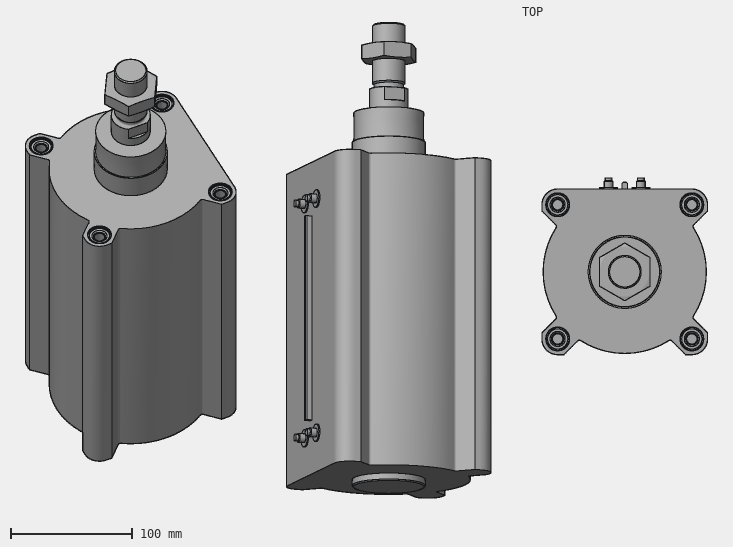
import cadquery as cq
import math


barrel_bottom = 6.0
barrel_length = 260.0
barrel_top = barrel_bottom + barrel_length
collar_height = 21.0
neck_height = 24.5
collar_top = barrel_top + collar_height
neck_top = collar_top + neck_height
rod_reach = 19.5
rod_shoulder = neck_top + rod_reach
rod_end = 385.0

barrel_radius = 67.0
half_width = 68.0
screw_spacing = 110.0
screw_offset = screw_spacing / 2
lug_radius = half_width - screw_offset
lug_flat_end = 50.0
lug_flank_shift = half_width - lug_flat_end
lug_root_fillet = 2.0

recess_mouth_diameter = 19.6
recess_diameter = 18.63
recess_floor_diameter = 16.6
recess_ledge_depth = 1.0
recess_depth = 1.5
hole_mouth_diameter = 12.4
hole_step_diameter = 10.11
hole_step_depth = 3.0
hole_diameter = 8.5
hole_depth = 25.0

collar_diameter = 60.0
neck_diameter = 57.6
neck_waist = 0.3
boss_chamfer = 1.0

fitting_spacing_x = 26.6
fitting_inset = 32.4
pad_diameter = 14.5
pad_thickness = 1.0
fitting_body_diameter = 7.4
fitting_body_end = 6.8
fitting_body_chamfer = 0.8
fitting_tip_diameter = 5.78
fitting_length = 9.1
rail_width = 4.6
rail_height = 5.5
rail_end_inset = 45.0
rail_chamfer = 1.1

rod_diameter = 32.0
flats_width = 27.0
flats_length = 11.0
thread_diameter = 27.0
thread_tip_diameter = 24.84
groove_diameter = 24.3
groove_length = 5.5
groove_fillet = 1.6
rod_tip_chamfer = (thread_diameter - thread_tip_diameter) / 2
groove_chamfer = (thread_diameter - groove_diameter) / 2

nut_across_flats = 41.0
nut_height = 12.8
nut_top = 367.5
nut_chamfer_diameter = 40.6
nut_chamfer_angle = 12.0


def at_height(z):
    return cq.Workplane("XY", origin=(0, 0, z))


def cylinder(diameter, z_bottom, z_top):
    return at_height(z_bottom).circle(diameter / 2).extrude(z_top - z_bottom)


def lug(sign_x, sign_y):
    """Rounded lug reaching from the barrel axis out to one corner screw."""
    arc_mid = screw_offset + lug_radius * math.sqrt(0.5)

    def corner(x, y):
        return (sign_x * x, sign_y * y)

    return (
        at_height(barrel_bottom)
        .moveTo(*corner(lug_flank_shift, 0))
        .lineTo(*corner(half_width, lug_flat_end))
        .lineTo(*corner(half_width, screw_offset))
        .threePointArc(corner(arc_mid, arc_mid), corner(screw_offset, half_width))
        .lineTo(*corner(lug_flat_end, half_width))
        .lineTo(*corner(0, lug_flank_shift))
        .lineTo(0, 0)
        .close()
        .extrude(barrel_length)
    )


def make_barrel():
    barrel = cylinder(2 * barrel_radius, barrel_bottom, barrel_top)
    for sign_x in (-1, 1):
        for sign_y in (-1, 1):
            barrel = barrel.union(lug(sign_x, sign_y))

    root_near = (-lug_flank_shift + math.sqrt(2 * barrel_radius**2 - lug_flank_shift**2)) / 2
    root_far = root_near + lug_flank_shift
    roots = [(sx * root_far, sy * root_near) for sx in (-1, 1) for sy in (-1, 1)]
    roots += [(sx * root_near, -root_far) for sx in (-1, 1)]
    z_mid = barrel_bottom + barrel_length / 2
    for x, y in roots:
        root_edge = barrel.edges(cq.selectors.NearestToPointSelector((x, y, z_mid)))
        barrel = root_edge.fillet(lug_root_fillet)

    back_block = (
        at_height(barrel_bottom)
        .rect(2 * screw_offset, half_width, centered=(True, False))
        .extrude(barrel_length)
    )
    return barrel.union(back_block)


def screw_hole(x, y):
    """Stepped hole with conical mouths, open at the top of the barrel."""
    floor = barrel_top - recess_depth
    recess_cone = (recess_mouth_diameter - recess_diameter) / 2
    hole_cone = (hole_mouth_diameter - hole_step_diameter) / 2
    profile = [
        (0, barrel_top - hole_depth),
        (hole_diameter / 2, barrel_top - hole_depth),
        (hole_diameter / 2, barrel_top - hole_step_depth),
        (hole_step_diameter / 2, barrel_top - hole_step_depth),
        (hole_step_diameter / 2, floor - hole_cone),
        (hole_mouth_diameter / 2, floor),
        (recess_floor_diameter / 2, floor),
        (recess_floor_diameter / 2, barrel_top - recess_ledge_depth),
        (recess_diameter / 2, barrel_top - recess_ledge_depth),
        (recess_diameter / 2, barrel_top - recess_cone),
        (recess_mouth_diameter / 2, barrel_top),
        (0, barrel_top),
    ]
    hole = cq.Workplane("XZ").polyline(profile).close().revolve(360, (0, 0), (0, 1))
    return hole.translate((x, y, 0))


def make_neck():
    radius = neck_diameter / 2
    waist = (radius - neck_waist, (collar_top + neck_top) / 2)
    return (
        cq.Workplane("XZ")
        .moveTo(0, collar_top)
        .lineTo(radius, collar_top)
        .threePointArc(waist, (radius, neck_top))
        .lineTo(0, neck_top)
        .close()
        .revolve(360, (0, 0), (0, 1))
    )


def fitting(x, z):
    """Push-on fitting standing on a round pad and pointing along +Y."""
    body = fitting_body_diameter / 2
    tip = fitting_tip_diameter / 2
    profile = [
        (0, 0),
        (pad_diameter / 2, 0),
        (pad_diameter / 2, pad_thickness),
        (body, pad_thickness),
        (body, fitting_body_end - fitting_body_chamfer),
        (body - fitting_body_chamfer, fitting_body_end),
        (tip, fitting_body_end),
        (tip, fitting_length),
        (0, fitting_length),
    ]
    shape = cq.Workplane("XY").polyline(profile).close().revolve(360, (0, 0), (0, 1))
    return shape.translate((x, half_width, z))


def make_rail():
    rail_length = barrel_length - 2 * rail_end_inset
    base = at_height(barrel_bottom + rail_end_inset)
    rail = base.center(0, half_width + rail_height / 2).rect(rail_width, rail_height).extrude(rail_length)
    return rail.faces(">Y").edges("|Z").chamfer(rail_chamfer)


def make_rod():
    rod = cylinder(rod_diameter, barrel_top, rod_shoulder)
    flats_bottom = rod_shoulder - flats_length
    flats_envelope = at_height(flats_bottom).rect(flats_width, rod_diameter).extrude(flats_length)
    rod = rod.intersect(flats_envelope.union(cylinder(rod_diameter, barrel_top, flats_bottom)))

    groove_top = rod_shoulder + groove_length - groove_chamfer
    groove_radius = groove_diameter / 2
    fillet_mid = groove_fillet * (1 - math.sqrt(0.5))
    threaded_end = (
        cq.Workplane("XZ")
        .moveTo(0, rod_shoulder)
        .lineTo(groove_radius + groove_fillet, rod_shoulder)
        .threePointArc(
            (groove_radius + fillet_mid, rod_shoulder + fillet_mid),
            (groove_radius, rod_shoulder + groove_fillet),
        )
        .lineTo(groove_radius, groove_top)
        .lineTo(thread_diameter / 2, groove_top + groove_chamfer)
        .lineTo(thread_diameter / 2, rod_end - rod_tip_chamfer)
        .lineTo(thread_tip_diameter / 2, rod_end)
        .lineTo(0, rod_end)
        .close()
        .revolve(360, (0, 0), (0, 1))
    )
    return rod.union(threaded_end)


def make_nut():
    corner_diameter = nut_across_flats / math.cos(math.pi / 6)
    bottom = nut_top - nut_height
    hexagon = at_height(bottom).polygon(6, corner_diameter).extrude(nut_height)
    hexagon = hexagon.rotate((0, 0, 0), (0, 0, 1), 30)

    corner = corner_diameter / 2
    face = nut_chamfer_diameter / 2
    drop = (corner - face) * math.tan(math.radians(nut_chamfer_angle))
    envelope = (
        cq.Workplane("XZ")
        .polyline([
            (0, bottom),
            (face, bottom),
            (corner, bottom + drop),
            (corner, nut_top - drop),
            (face, nut_top),
            (0, nut_top),
        ])
        .close()
        .revolve(360, (0, 0), (0, 1))
    )
    return hexagon.intersect(envelope).cut(cylinder(thread_diameter, bottom, nut_top))


def make_housing():
    boss = cylinder(collar_diameter, 0, barrel_bottom).faces("<Z").chamfer(boss_chamfer)
    housing = make_barrel().union(boss)
    housing = housing.union(cylinder(collar_diameter, barrel_top, collar_top)).union(make_neck())
    for x in (-screw_offset, screw_offset):
        for y in (-screw_offset, screw_offset):
            housing = housing.cut(screw_hole(x, y))
    for x in (-fitting_spacing_x / 2, fitting_spacing_x / 2):
        for z in (barrel_bottom + fitting_inset, barrel_top - fitting_inset):
            housing = housing.union(fitting(x, z))
    housing = housing.union(make_rail())
    return housing.cut(cylinder(rod_diameter, barrel_top, neck_top))


housing = make_housing()
rod = make_rod()
nut = make_nut()

result = cq.Compound.makeCompound([housing.val(), rod.val(), nut.val()])